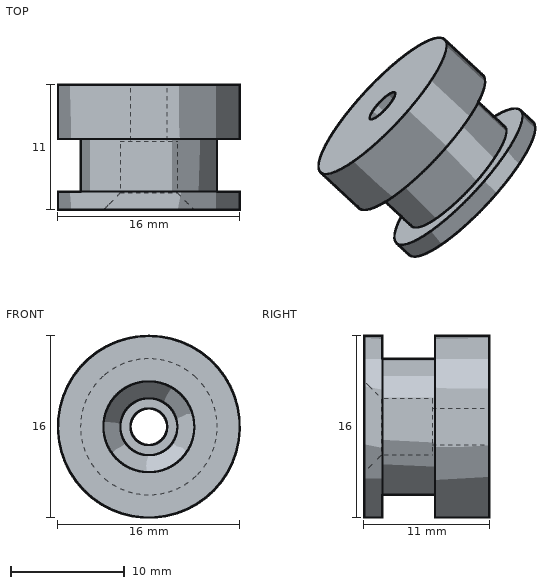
import cadquery as cq

flange_diameter = 15.99
total_length = 11.0

front_flange_length = 1.6
rear_flange_length = 4.8
groove_length = total_length - front_flange_length - rear_flange_length
groove_diameter = 12.0

recess_mouth_diameter = 8.0
recess_diameter = 5.0
lead_in_depth = (recess_mouth_diameter - recess_diameter) / 2
recess_depth = 6.0

bore_diameter = 3.2

front_y = -total_length / 2


def rod(diameter, start_y, length):
    """Solid cylinder along +Y starting at start_y."""
    return cq.Workplane(
        cq.Solid.makeCylinder(diameter / 2, length, cq.Vector(0, start_y, 0), cq.Vector(0, 1, 0))
    )


def spool_body():
    """Two flanges of equal diameter joined by a narrower neck."""
    neck_y = front_y + front_flange_length
    front_flange = rod(flange_diameter, front_y, front_flange_length)
    neck = rod(groove_diameter, neck_y, groove_length)
    rear_flange = rod(flange_diameter, neck_y + groove_length, rear_flange_length)
    return front_flange.union(neck).union(rear_flange)


def lead_in():
    """Cone frustum narrowing from the front face down to the recess walls."""
    return cq.Workplane(
        cq.Solid.makeCone(
            recess_mouth_diameter / 2,
            recess_diameter / 2,
            lead_in_depth,
            cq.Vector(0, front_y, 0),
            cq.Vector(0, 1, 0),
        )
    )


recess = rod(recess_diameter, front_y, recess_depth)
bore = rod(bore_diameter, front_y, total_length)

result = spool_body().cut(lead_in()).cut(recess).cut(bore)